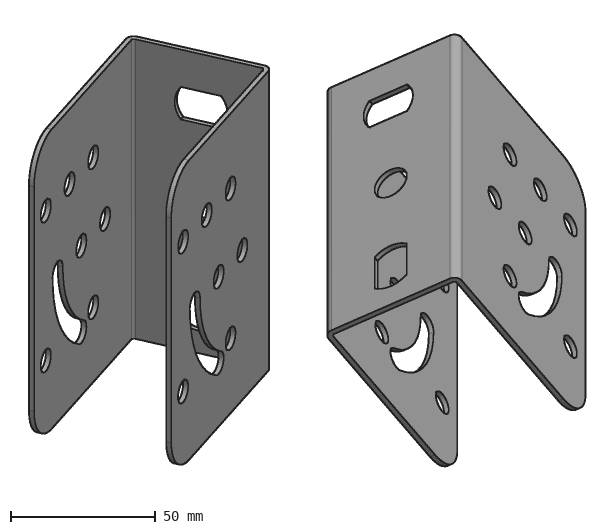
import cadquery as cq
import math

WIDTH = 54.0
DEPTH = 85.0
HEIGHT = 120.0
THICKNESS = 2.0
INNER_BEND_RADIUS = 1.0
OUTER_BEND_RADIUS = INNER_BEND_RADIUS + THICKNESS
CORNER_RADIUS = 15.0

FLANGE_HOLE_DIAMETER = 8.5
HOLE_PITCH = 20.0
ROW_SPACING = 30.0
FIRST_HOLE_SETBACK = 10.0

SLOT_RADIUS = 2 * HOLE_PITCH
SLOT_SWEEP = 60.0
PIVOT_SETBACK = 60.0

WEB_HOLE_DIAMETER = 13.0
OPENING_DIAMETER = 20.0
OPENING_FLATS = WEB_HOLE_DIAMETER
UPPER_OPENING_X = 1.0
UPPER_OPENING_Z = 38.5
LOWER_OPENING_Z = -41.0

BACK_Y = DEPTH / 2
OPEN_Y = -DEPTH / 2


def channel():
    """U-shaped channel with bent corners, open toward -Y."""
    outer = (
        cq.Workplane("XY")
        .box(WIDTH, DEPTH, HEIGHT)
        .edges("|Z and >Y")
        .fillet(OUTER_BEND_RADIUS)
    )
    inner = (
        cq.Workplane("XY")
        .box(WIDTH - 2 * THICKNESS, DEPTH, HEIGHT)
        .edges("|Z and >Y")
        .fillet(INNER_BEND_RADIUS)
        .translate((0, -THICKNESS, 0))
    )
    return outer.cut(inner)


def round_flange_corners(body):
    """Round the upper and lower free corners of both flanges."""
    return body.edges("|X and <Y").fillet(CORNER_RADIUS)


def flange_plane():
    """Y-Z sketch plane on the -X face; extrusions run through both flanges."""
    return cq.Workplane("YZ", origin=(-WIDTH / 2, 0, 0))


def flange_holes():
    """Round holes in three rows, placed by setback from the open edge."""
    near = FIRST_HOLE_SETBACK
    middle = near + HOLE_PITCH
    far = middle + HOLE_PITCH
    setbacks_by_row = [
        (ROW_SPACING, [near, middle, far]),
        (0.0, [PIVOT_SETBACK - HOLE_PITCH, PIVOT_SETBACK]),
        (-ROW_SPACING, [near, far]),
    ]
    points = [(OPEN_Y + setback, z) for z, setbacks in setbacks_by_row for setback in setbacks]
    return flange_plane().pushPoints(points).circle(FLANGE_HOLE_DIAMETER / 2).extrude(WIDTH)


def slot_point(radius, angle):
    """Point on the flange, swung down from the middle row about the pivot hole."""
    swing = math.radians(angle)
    return (OPEN_Y + PIVOT_SETBACK - radius * math.cos(swing), -radius * math.sin(swing))


def curved_slot():
    """Arc slot with round ends, as wide as the flange holes."""
    half_width = FLANGE_HOLE_DIAMETER / 2
    outer = SLOT_RADIUS + half_width
    inner = SLOT_RADIUS - half_width
    end_overrun = math.degrees(math.atan2(half_width, SLOT_RADIUS))
    end_radius = math.hypot(SLOT_RADIUS, half_width)
    return (
        flange_plane()
        .moveTo(*slot_point(outer, 0))
        .threePointArc(slot_point(outer, SLOT_SWEEP / 2), slot_point(outer, SLOT_SWEEP))
        .threePointArc(slot_point(end_radius, SLOT_SWEEP + end_overrun), slot_point(inner, SLOT_SWEEP))
        .threePointArc(slot_point(inner, SLOT_SWEEP / 2), slot_point(inner, 0))
        .threePointArc(slot_point(end_radius, -end_overrun), slot_point(outer, 0))
        .close()
        .extrude(WIDTH)
    )


def web_cylinder(diameter, x, z):
    """Cylinder along Y that passes through the back web only."""
    return (
        cq.Workplane("XZ", origin=(x, BACK_Y, z))
        .circle(diameter / 2)
        .extrude(2 * THICKNESS)
    )


def flat_sided_opening(x, z, size_x, size_z):
    """Round opening trimmed by two parallel flats."""
    trim = cq.Workplane("XY").box(size_x, DEPTH, size_z).translate((x, BACK_Y, z))
    return web_cylinder(OPENING_DIAMETER, x, z).intersect(trim)


bracket = round_flange_corners(channel())
bracket = bracket.cut(flange_holes()).cut(curved_slot())
bracket = bracket.cut(web_cylinder(WEB_HOLE_DIAMETER, 0, 0))
bracket = bracket.cut(flat_sided_opening(UPPER_OPENING_X, UPPER_OPENING_Z, OPENING_DIAMETER, OPENING_FLATS))
bracket = bracket.cut(flat_sided_opening(0, LOWER_OPENING_Z, OPENING_FLATS, OPENING_DIAMETER))

result = bracket